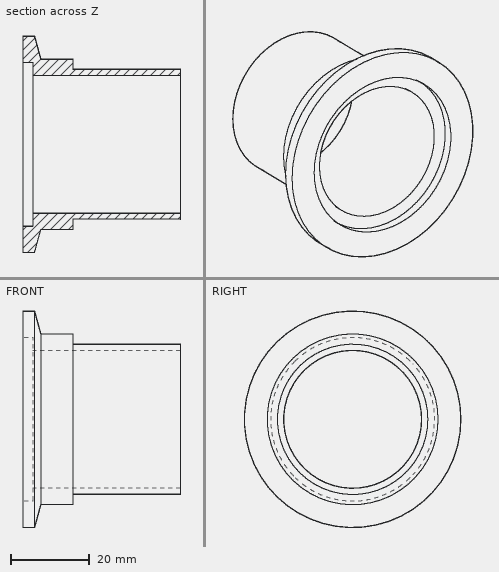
import cadquery as cq

flange_diameter = 54.85
hub_diameter = 43.25
tube_diameter = 38.1
bore_diameter = 34.85
recess_diameter = 41.5

total_length = 40.0
flange_rim_width = 3.0
taper_end = 4.6
hub_end = 12.75
recess_depth = 2.6


def cylinder(diameter, start, end):
    """Solid cylinder along X between two positions."""
    return cq.Workplane("YZ", origin=(start, 0, 0)).circle(diameter / 2).extrude(end - start)


def flange():
    """Flange with a tapered back face, as a solid of revolution."""
    profile = [
        (0, 0),
        (0, flange_diameter / 2),
        (flange_rim_width, flange_diameter / 2),
        (taper_end, hub_diameter / 2),
        (taper_end, 0),
    ]
    return cq.Workplane("XY").polyline(profile).close().revolve(360, (0, 0, 0), (1, 0, 0))


hub = cylinder(hub_diameter, 0, hub_end)
tube = cylinder(tube_diameter, 0, total_length)
bore = cylinder(bore_diameter, 0, total_length)
seal_recess = cylinder(recess_diameter, 0, recess_depth)

result = flange().union(hub).union(tube).cut(bore).cut(seal_recess)